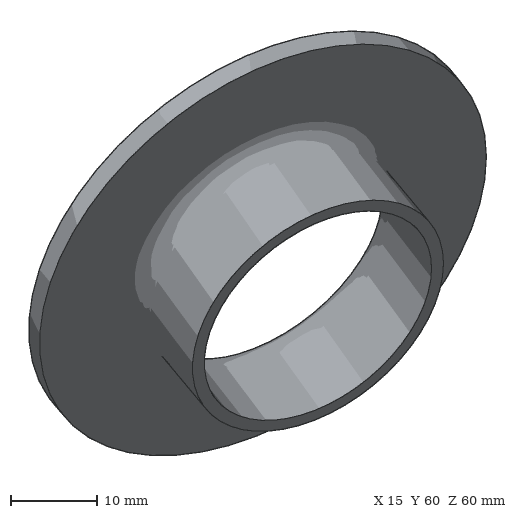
import cadquery as cq

flange_diameter = 60.0
flange_thickness = 2.5
tube_outer_diameter = 33.7
tube_bore_diameter = 30.5
overall_length = 15.0
bore_flare_radius = 5.0
neck_fillet_radius = 3.0

flange_radius = flange_diameter / 2
tube_radius = tube_outer_diameter / 2
bore_radius = tube_bore_diameter / 2


def make_blank():
    """Flange disc with the tube standing on its back face, both solid."""
    flange = cq.Workplane("YZ").circle(flange_radius).extrude(flange_thickness)
    tube = cq.Workplane("YZ").circle(tube_radius).extrude(overall_length)
    return flange.union(tube)


def fillet_neck(body):
    """Round the inside corner where the tube meets the flange."""
    corner = cq.selectors.RadiusNthSelector(0)
    return body.faces("<X[1]").edges(corner).fillet(neck_fillet_radius)


def cut_bore(body):
    """Bore through the tube, then round its mouth on the flange face."""
    bored = body.faces(">X").workplane().circle(bore_radius).cutThruAll()
    mouth = cq.selectors.RadiusNthSelector(0)
    return bored.faces("<X").edges(mouth).fillet(bore_flare_radius)


result = cut_bore(fillet_neck(make_blank()))